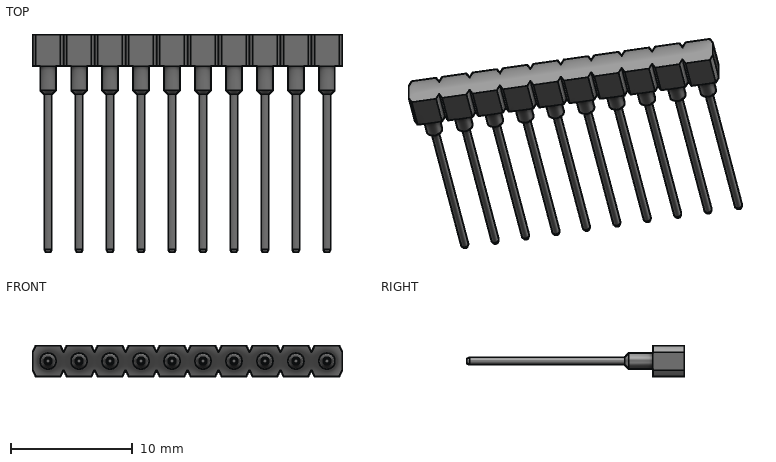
import cadquery as cq

pin_count = 10
pitch = 2.55
housing_height = 2.55
housing_depth = 2.6
corner_width = 0.25
corner_height = 0.53

overall_depth = 17.85
collar_diameter = 1.32
collar_length = 1.98
shoulder_length = 0.33
pin_diameter = 0.64
tip_length = 0.25
tip_diameter = 0.38

housing_length = pin_count * pitch
pin_reach = overall_depth - housing_depth
pin_positions = [(i + 0.5) * pitch - housing_length / 2 for i in range(pin_count)]


def make_cell(x_center):
    """Housing cell with bevelled long edges; its front face lies on Y = 0."""
    half_width = pitch / 2
    half_height = housing_height / 2
    flat_x = half_width - corner_width
    flat_z = half_height - corner_height
    outline = [
        (-flat_x, -half_height),
        (flat_x, -half_height),
        (half_width, -flat_z),
        (half_width, flat_z),
        (flat_x, half_height),
        (-flat_x, half_height),
        (-half_width, flat_z),
        (-half_width, -flat_z),
    ]
    cell = cq.Workplane("XZ").polyline(outline).close().extrude(-housing_depth)
    return cell.translate((x_center, 0, 0))


def make_pin(x_center):
    """Collar, tapered shoulder, and long pin with a bevelled tip, along -Y."""
    shoulder_end = collar_length + shoulder_length
    profile = [
        (0, 0),
        (collar_diameter / 2, 0),
        (collar_diameter / 2, -collar_length),
        (pin_diameter / 2, -shoulder_end),
        (pin_diameter / 2, tip_length - pin_reach),
        (tip_diameter / 2, -pin_reach),
        (0, -pin_reach),
    ]
    pin = cq.Workplane("XY").polyline(profile).close().revolve(360, (0, 0, 0), (0, 1, 0))
    return pin.translate((x_center, 0, 0))


result = make_cell(pin_positions[0])
for x in pin_positions[1:]:
    result = result.union(make_cell(x))
result = result.clean()
for x in pin_positions:
    result = result.union(make_pin(x))